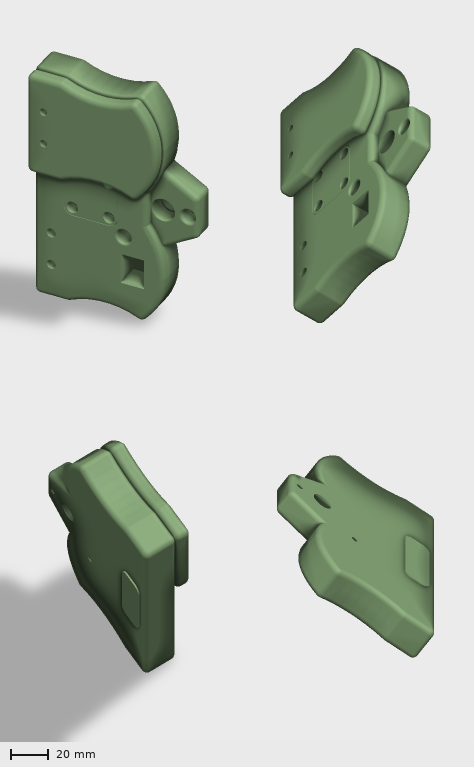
import cadquery as cq
import math


height = 144.0
half_height = height / 2
length = 95.5
housing_depth = 20.0
cover_depth = 9.0
badge_height = 1.0
edge_radius = 3.0
corner_radius = 3.2

lobe_mid_z = 41.0
lobe_apex_x = 77.8
tip_x = 63.8
hollow_start_x = 20.3
hollow_sagitta = 5.0
notch_x = 67.5
notch_half_height = 10.2

tongue_depth = 15.0
tongue_front = housing_depth - tongue_depth
tongue_end_half_height = 12.4
tongue_root_x = 57.6
tongue_angle = 30.0
ring_bore_x = 74.9
ring_bore_diameter = 11.5
ring_seat_diameter = 14.0
ring_seat_depth = 10.0

grip_screw = (53.5, -20.7)
tongue_screw = (89.7, 0.0)
screw_diameter = 3.7
screw_head_diameter = 9.0
screw_head_rounding = 1.0
screw_floor = 5.0

fixing_x = 10.2
fixing_pitch = 20.0
cover_hole_diameter = 4.5
housing_hole_diameter = 5.5
housing_hole_depth = 10.0

pocket_x = 58.9
pocket_width = 14.0
pocket_height = 18.3
pocket_depth = 15.0

plate_x = 33.8
plate_width = 31.7
plate_height = 31.7
plate_thickness = 10.0
plate_corner_radius = 5.0
plate_gap = 0.3
plate_screw_pitch = 21.9
plate_screw_diameter = 3.5
plate_head_diameter = 7.0
plate_head_depth = 7.2

badge_x = 13.1
badge_width = 15.8
badge_length = 49.0
badge_corner_radius = 5.0


def joint_plane(y=0.0):
    """Workplane in X and Z at the given y, with positive extrusion toward -Y."""
    return cq.Workplane("XZ", origin=(0, y, 0))


def bore(x, z, diameter, depth, y=0.0):
    """Cylinder that starts at y and runs toward +Y."""
    return joint_plane(y).center(x, z).circle(diameter / 2).extrude(-depth)


def lobe_arc_middle(end_x, end_z):
    """Point halfway along an arc that leaves the lobe apex vertically and ends at (end_x, end_z)."""
    sagitta = lobe_apex_x - end_x
    rise = end_z - lobe_mid_z
    radius = (sagitta**2 + rise**2) / (2 * sagitta)
    half_angle = math.asin(rise / radius) / 2
    return (
        lobe_apex_x - radius * (1 - math.cos(half_angle)),
        lobe_mid_z + radius * math.sin(half_angle),
    )


fixing_heights = (lobe_mid_z - fixing_pitch / 2, lobe_mid_z + fixing_pitch / 2)
hollow_mid_x = (hollow_start_x + tip_x) / 2
hollow_floor_z = half_height - hollow_sagitta
apex = (lobe_apex_x, lobe_mid_z)
upper_tip = (tip_x, half_height)
notch_corner = (notch_x, notch_half_height)


def flip(point, mirror_z=0.0):
    """Mirror an (x, z) point in height."""
    return (point[0], 2 * mirror_z - point[1])


def housing_outline():
    """Two mirrored lobes joined by the straight spine and the notch wall."""
    upper_middle = lobe_arc_middle(*upper_tip)
    lower_middle = lobe_arc_middle(*notch_corner)
    return (
        joint_plane()
        .moveTo(0, half_height)
        .lineTo(hollow_start_x, half_height)
        .threePointArc((hollow_mid_x, hollow_floor_z), upper_tip)
        .threePointArc(upper_middle, apex)
        .threePointArc(lower_middle, notch_corner)
        .lineTo(*flip(notch_corner))
        .threePointArc(flip(lower_middle), flip(apex))
        .threePointArc(flip(upper_middle), flip(upper_tip))
        .threePointArc((hollow_mid_x, -hollow_floor_z), (hollow_start_x, -half_height))
        .lineTo(0, -half_height)
        .close()
    )


def cover_outline():
    """One lobe, closed by its own mirror image about the lobe middle."""
    cover_bottom_z = 2 * lobe_mid_z - half_height
    lower_tip = flip(upper_tip, lobe_mid_z)
    return (
        joint_plane()
        .moveTo(0, half_height)
        .lineTo(hollow_start_x, half_height)
        .threePointArc((hollow_mid_x, hollow_floor_z), upper_tip)
        .threePointArc(apex, lower_tip)
        .threePointArc(
            flip((hollow_mid_x, hollow_floor_z), lobe_mid_z),
            (hollow_start_x, cover_bottom_z),
        )
        .lineTo(0, cover_bottom_z)
        .close()
    )


def tongue():
    """Tapered lug behind the notch, with its front edges and end corners rounded."""
    root_half_height = tongue_end_half_height + (length - tongue_root_x) * math.tan(
        math.radians(tongue_angle)
    )
    blank = (
        joint_plane(tongue_front)
        .polyline([
            (tongue_root_x, root_half_height),
            (length, tongue_end_half_height),
            (length, -tongue_end_half_height),
            (tongue_root_x, -root_half_height),
        ])
        .close()
        .extrude(-tongue_depth)
    )
    rounded = blank.edges(">X and |Y").fillet(corner_radius)
    return rounded.faces("<Y").edges("not <X").fillet(edge_radius)


def rounded_counterbore(x, z, front_y):
    """Screw hole cutter: through bore, head recess and a rounded rim, turned about its axis."""
    head_radius = screw_head_diameter / 2
    rim = screw_head_rounding
    rim_bend = rim * (1 - math.sqrt(0.5))
    floor_y = housing_depth - screw_floor
    return (
        cq.Workplane("XY")
        .moveTo(0, front_y)
        .lineTo(head_radius + rim, front_y)
        .threePointArc((head_radius + rim_bend, front_y + rim_bend), (head_radius, front_y + rim))
        .lineTo(head_radius, floor_y)
        .lineTo(screw_diameter / 2, floor_y)
        .lineTo(screw_diameter / 2, housing_depth)
        .lineTo(0, housing_depth)
        .close()
        .revolve(360, (0, 0, 0), (0, 1, 0))
        .translate((x, 0, z))
    )


def plate_blank(gap):
    """Inset plate block, grown by the gap around its outline."""
    return (
        joint_plane()
        .center(plate_x, 0)
        .rect(plate_width + 2 * gap, plate_height + 2 * gap)
        .extrude(-plate_thickness)
        .edges("|Y")
        .fillet(plate_corner_radius + gap)
    )


def outer_corner_edges(body):
    """Upright edges at the ends of the housing, leaving the notch corners sharp."""
    upright = body.edges("|Y")
    return upright.filter(lambda edge: abs(edge.Center().z) > half_height - corner_radius)


def make_housing():
    """Two-lobed grip with the tongue, its holes and the recesses in its front."""
    body = outer_corner_edges(housing_outline().extrude(-housing_depth)).fillet(corner_radius)
    body = body.faces("<Y").edges().fillet(edge_radius)
    body = body.union(tongue())
    body = body.faces(">Y").edges().fillet(edge_radius)

    body = body.cut(bore(ring_bore_x, 0, ring_bore_diameter, housing_depth))
    body = body.cut(bore(ring_bore_x, 0, ring_seat_diameter, ring_seat_depth, tongue_front))

    for x, z, front_y in ((*grip_screw, 0), (*tongue_screw, tongue_front)):
        body = body.cut(rounded_counterbore(x, z, front_y))

    for z in fixing_heights:
        for side_z in (z, -z):
            body = body.cut(bore(fixing_x, side_z, housing_hole_diameter, housing_hole_depth))

    pocket = (
        joint_plane()
        .center(pocket_x, -lobe_mid_z)
        .rect(pocket_width, pocket_height)
        .extrude(-pocket_depth)
    )
    return body.cut(pocket).cut(plate_blank(plate_gap))


def make_cover():
    """Rounded cover in front of the upper lobe."""
    body = cover_outline().extrude(cover_depth).edges("|Y").fillet(corner_radius)
    body = body.faces("<Y or >Y").edges().fillet(edge_radius)
    for z in fixing_heights:
        body = body.cut(bore(fixing_x, z, cover_hole_diameter, cover_depth, -cover_depth))
    return body


def make_plate():
    """Flush plate in the housing recess, with four counterbored screw holes."""
    body = plate_blank(0)
    half_pitch = plate_screw_pitch / 2
    for x in (plate_x - half_pitch, plate_x + half_pitch):
        for z in (-half_pitch, half_pitch):
            body = body.cut(bore(x, z, plate_screw_diameter, plate_thickness))
            body = body.cut(bore(x, z, plate_head_diameter, plate_head_depth))
    return body


def make_badge():
    """Thin raised pad on the back of the housing."""
    return (
        joint_plane(housing_depth)
        .center(badge_x, 0)
        .rect(badge_width, badge_length)
        .extrude(-badge_height)
        .edges("|Y")
        .fillet(badge_corner_radius)
    )


housing = make_housing()
cover = make_cover()
plate = make_plate()
badge = make_badge()
result = cq.Compound.makeCompound([housing.val(), cover.val(), plate.val(), badge.val()])